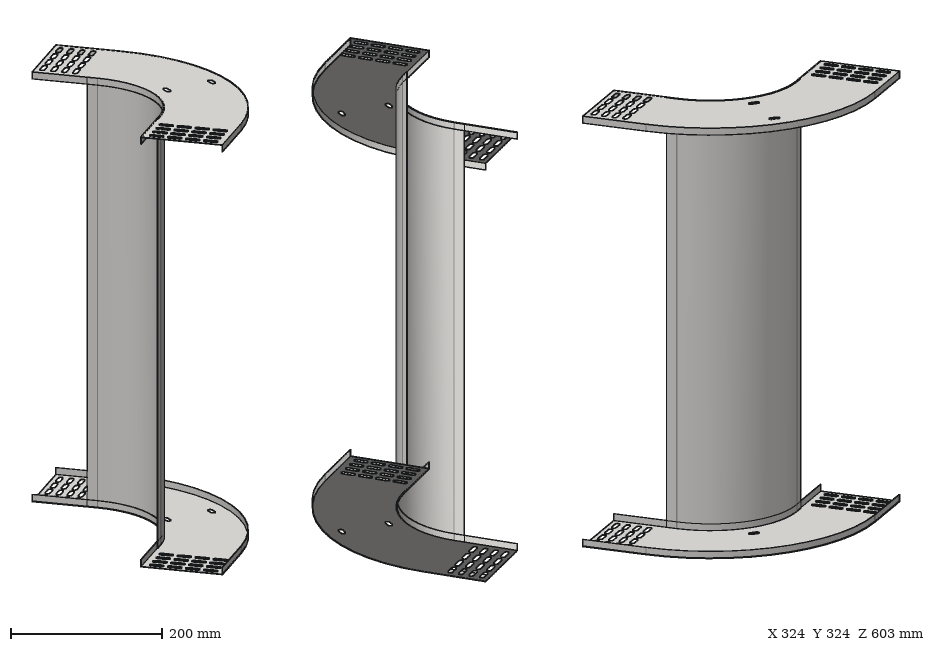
import cadquery as cq
import math

total_height = 603.0
overall_width = 324.0
sheet = 1.0

arm_length = 90.0
clear_width = 111.0
tray_width = clear_width + 2 * sheet
flange_height = 10.0
outer_radius = overall_width - arm_length
inner_radius = outer_radius - tray_width
middle_radius = (outer_radius + inner_radius) / 2

wall_arm = 14.5

slot_count = 4
slot_length = 20.0
slot_width = 6.5
slot_end_margin = 10.0
slot_pitch_along = 15.0
slot_pitch_across = 25.0

bend_slot_length = 15.0
bend_slot_offset = 34.0
bend_angle = 45.0


def bend_strip(inner, outer, arm, bottom, height):
    """Quarter-ring strip between two radii with a straight arm at each end."""
    cos_bend = math.cos(math.radians(bend_angle))
    return (
        cq.Workplane("XY", origin=(0, 0, bottom))
        .moveTo(-arm, outer)
        .lineTo(0, outer)
        .threePointArc((outer * cos_bend, outer * cos_bend), (outer, 0))
        .lineTo(outer, -arm)
        .lineTo(inner, -arm)
        .lineTo(inner, 0)
        .threePointArc((inner * cos_bend, inner * cos_bend), (0, inner))
        .lineTo(-arm, inner)
        .close()
        .extrude(height)
    )


def arm_slots():
    """Cutters for the slot grids, with every slot lying across its arm."""
    grid_middle = arm_length - slot_end_margin - slot_pitch_along * (slot_count - 1) / 2
    along_y_arm = (
        cq.Workplane("XY")
        .center(middle_radius, -grid_middle)
        .rarray(slot_pitch_across, slot_pitch_along, slot_count, slot_count)
        .slot2D(slot_length, slot_width)
        .extrude(sheet)
    )
    along_x_arm = (
        cq.Workplane("XY")
        .center(-grid_middle, middle_radius)
        .rarray(slot_pitch_along, slot_pitch_across, slot_count, slot_count)
        .slot2D(slot_length, slot_width, 90)
        .extrude(sheet)
    )
    return along_y_arm, along_x_arm


def bend_slots():
    """Cutters for the two tangential slots at the middle of the bend."""
    return (
        cq.Workplane("XY")
        .transformed(rotate=(0, 0, bend_angle))
        .pushPoints([(middle_radius + side * bend_slot_offset, 0) for side in (-1, 1)])
        .slot2D(bend_slot_length, slot_width, 90)
        .extrude(sheet)
    )


def make_tray():
    """Slotted tray lying on Z = 0 with both side flanges turned up."""
    floor = bend_strip(inner_radius, outer_radius, arm_length, 0, sheet)
    inner_flange = bend_strip(inner_radius, inner_radius + sheet, arm_length, 0, flange_height)
    outer_flange = bend_strip(outer_radius - sheet, outer_radius, arm_length, 0, flange_height)
    tray = floor.union(inner_flange).union(outer_flange)
    for cutter in (*arm_slots(), bend_slots()):
        tray = tray.cut(cutter)
    return tray


def make_wall():
    """Curved wall between the tray floors, touching the inside of the inner flanges."""
    wall_inner = inner_radius + sheet
    return bend_strip(wall_inner, wall_inner + sheet, wall_arm, sheet, total_height - 2 * sheet)


trays = []
for upside_down in (False, True):
    tray = make_tray()
    if upside_down:
        tray = tray.mirror("XY", (0, 0, total_height / 2))
    trays.append(tray)

wall = make_wall()

result = cq.Compound.makeCompound([*[tray.val() for tray in trays], wall.val()])